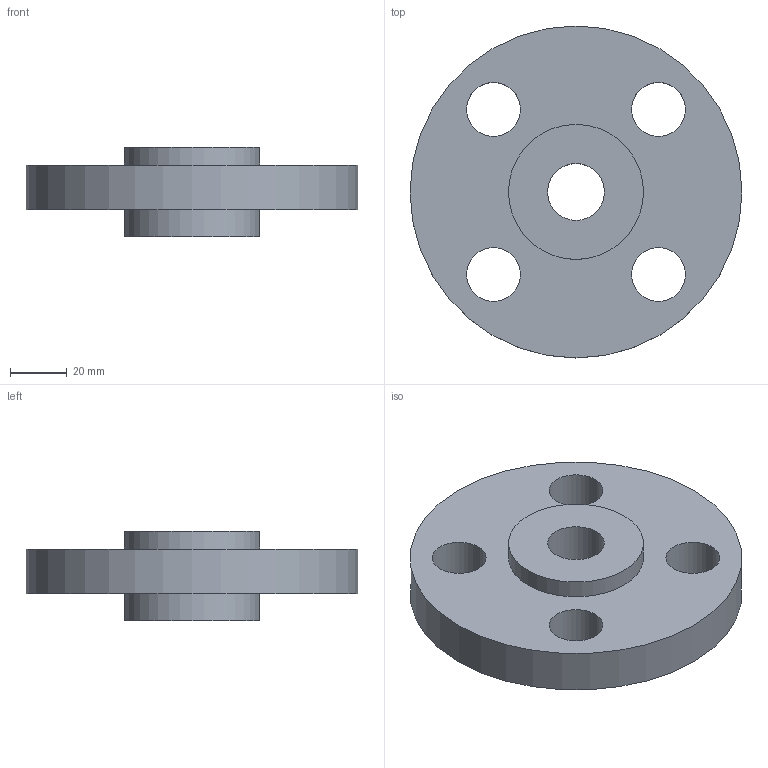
import cadquery as cq

flange_diameter = 117.35
flange_thickness = 15.75

hub_diameter = 47.75
raised_face_height = 6.35
overall_height = 31.75
hub_height = overall_height - flange_thickness - raised_face_height

bore_diameter = 20.1
bolt_hole_diameter = 19.05
bolt_circle_diameter = 82.55
bolt_count = 4
first_bolt_angle = 45.0


def make_body():
    """Central hub running the full height, with the flange disc around it."""
    hub = cq.Workplane("XY").circle(hub_diameter / 2).extrude(overall_height)
    disc = (
        cq.Workplane("XY")
        .workplane(offset=hub_height)
        .circle(flange_diameter / 2)
        .extrude(flange_thickness)
    )
    return hub.union(disc)


def make_bore():
    """Cylinder that opens the hub from end to end."""
    return cq.Workplane("XY").circle(bore_diameter / 2).extrude(overall_height)


def make_bolt_holes():
    """Evenly spaced cylinders on the bolt circle, through the disc."""
    return (
        cq.Workplane("XY")
        .workplane(offset=hub_height)
        .polarArray(bolt_circle_diameter / 2, first_bolt_angle, 360, bolt_count)
        .circle(bolt_hole_diameter / 2)
        .extrude(flange_thickness)
    )


result = make_body().cut(make_bore()).cut(make_bolt_holes())